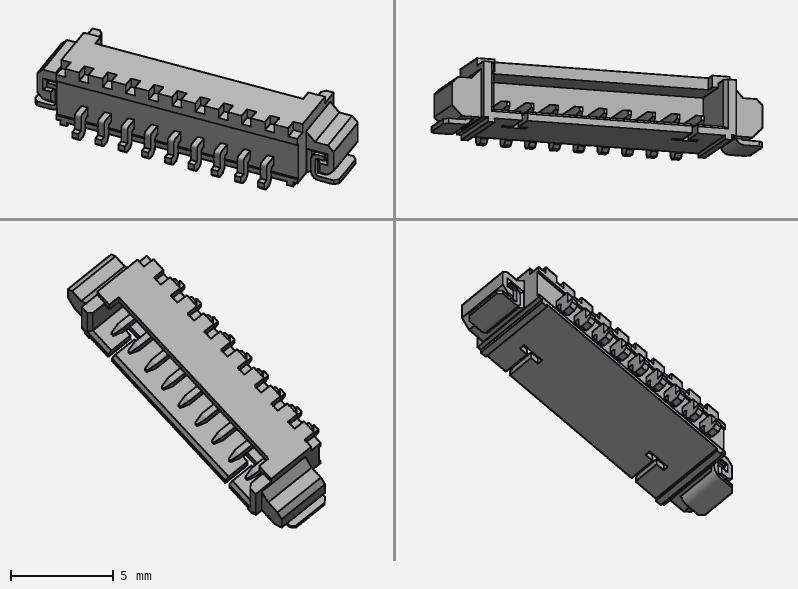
import cadquery as cq


pin_count = 9
pin_row_length = 10.0
pitch = pin_row_length / (pin_count - 1)
pin_width = 0.35
pin_height = 0.5
pin_top = 1.38
pin_bottom = pin_top - pin_height
pin_bend_radius = 0.15
pin_inner_radius = 0.1
leg_outer = -0.69
leg_inner = -0.2
solder_end = -1.0
solder_top = 0.5
solder_chamfer = 0.2
taper_start = 3.0
tip_length = 0.51
tip_scale = 0.4

notch_width = 0.5
notch_length = 0.6
notch_drop = 0.5
notch_count = pin_count + 2
body_half = (notch_count - 1) * pitch / 2 + notch_width / 2
body_depth = 4.2
body_top = 3.4
body_bottom = 0.25
recess_depth = 0.1
recess_bottom = 0.5
recess_top = 2.53

side_wall = 0.59
front_wall = 0.8
cover_thickness = 0.59
floor_top = 0.69
mouth_side_flare = 0.18
mouth_floor_flare = 0.21
mouth_floor_drop = 0.15
side_step_length = 1.0
side_step_top = 3.02
cover_opening_length = 1.6
cover_opening_margin = 0.9

underside_z = 0.2
standoff_inset = 0.23
standoff_width = 0.35

slit_width = 0.28
slit_length = 1.45
slit_offset = pitch * (pin_count - 2) / 2

ear_front = 1.0
ear_length = 2.8
ear_bottom = 0.3
ear_outer = 7.99
ear_shoulder = 6.99
ear_root_top = 2.72
ear_top = 2.23
ear_top_chamfer = 0.31
ear_side_bottom = 0.8
lead_in = 0.2

nail_thickness = 0.25
nail_length = 2.3
nail_outer = 8.2
nail_inner = 6.75
nail_top = 1.51
nail_hook_end = 7.48
foot_corner = 0.21
foot_bend_inner = 0.2
hook_bend_inner = 0.11

slot_inner = 6.72
slot_outer = 7.05
slot_hook_bottom = 1.23


def block(x_range, y_range, z_range):
    """Axis-aligned box spanning the given coordinate ranges."""
    (x0, x1), (y0, y1), (z0, z1) = x_range, y_range, z_range
    return cq.Workplane("XY").box(x1 - x0, y1 - y0, z1 - z0, centered=False).translate((x0, y0, z0))


def profile_plane(y):
    """XZ workplane at depth y; negative extrusions and offsets run toward +Y."""
    return cq.Workplane("XZ", origin=(0, y, 0))


def row(count):
    """X positions of a centred row at the contact pitch."""
    return [(i - (count - 1) / 2) * pitch for i in range(count)]


def make_cavity():
    inner_half = body_half - side_wall
    cover_bottom = body_top - cover_thickness
    cavity = block((-inner_half, inner_half), (front_wall, body_depth), (floor_top, cover_bottom))

    opening_half = body_half - cover_opening_margin
    cavity = cavity.union(block((-opening_half, opening_half),
                                (body_depth - cover_opening_length, body_depth), (floor_top, body_top)))
    cavity = cavity.union(block((-inner_half, inner_half),
                                (body_depth - side_step_length, body_depth), (floor_top, body_top)))

    flare = (
        cq.Workplane("XY")
        .polyline([
            (-inner_half, body_depth - mouth_floor_flare),
            (inner_half, body_depth - mouth_floor_flare),
            (inner_half + mouth_side_flare, body_depth),
            (-inner_half - mouth_side_flare, body_depth),
        ])
        .close()
        .extrude(body_top)
    )
    floor_ramp = (
        cq.Workplane("YZ", origin=(-body_half, 0, 0))
        .polyline([
            (body_depth - mouth_floor_flare, floor_top),
            (body_depth, floor_top - mouth_floor_drop),
            (body_depth, body_top),
            (body_depth - mouth_floor_flare, body_top),
        ])
        .close()
        .extrude(2 * body_half)
    )
    return cavity.union(flare.intersect(floor_ramp))


def make_housing():
    across = (-body_half, body_half)
    body = block(across, (0, body_depth), (body_bottom, body_top))
    body = body.cut(block(across, (0, recess_depth), (recess_bottom, recess_top)))
    body = body.cut(block(across, (body_depth - side_step_length, body_depth), (side_step_top, body_top)))

    rail_outer = body_half - standoff_inset
    body = body.union(block((-rail_outer, rail_outer), (0, body_depth), (underside_z, body_bottom)))
    for x in (-rail_outer, rail_outer - standoff_width):
        body = body.union(block((x, x + standoff_width), (0, body_depth), (0, body_bottom)))

    body = body.cut(make_cavity())
    for x in row(notch_count):
        body = body.cut(block((x - notch_width / 2, x + notch_width / 2),
                              (0, notch_length), (body_top - notch_drop, body_top)))

    slit_front = body_depth - slit_length
    for x in (-slit_offset, slit_offset):
        body = body.cut(block((x - slit_width / 2, x + slit_width / 2),
                              (slit_front, body_depth), (0, floor_top)))
        body = body.cut(block((x - pitch / 2, x + pitch / 2),
                              (slit_front - slit_width, slit_front), (0, floor_top)))
    return body


def make_pin():
    """Contact centred on X = 0: gull-wing lead outside and tapered tip inside the cavity."""
    lead = (
        cq.Workplane("YZ", origin=(-pin_width / 2, 0, 0))
        .moveTo(taper_start, pin_top)
        .lineTo(leg_outer + pin_bend_radius, pin_top)
        .radiusArc((leg_outer, pin_top - pin_bend_radius), -pin_bend_radius)
        .lineTo(leg_outer, solder_top)
        .lineTo(solder_end, solder_top)
        .lineTo(solder_end, solder_chamfer)
        .lineTo(solder_end + solder_chamfer, 0)
        .lineTo(leg_inner - solder_chamfer, 0)
        .lineTo(leg_inner, solder_chamfer)
        .lineTo(leg_inner, pin_bottom - pin_inner_radius)
        .radiusArc((leg_inner + pin_inner_radius, pin_bottom), pin_inner_radius)
        .lineTo(taper_start, pin_bottom)
        .close()
        .extrude(pin_width)
    )
    tip = (
        cq.Workplane("XZ", origin=(0, taper_start, pin_top - pin_height / 2))
        .rect(pin_width, pin_height)
        .workplane(offset=-tip_length)
        .rect(pin_width * tip_scale, pin_height * tip_scale)
        .loft(ruled=True)
    )
    return lead.union(tip)


def nail_slot(clearance):
    """Slot outline around a left-hand nail, grown outward by the given clearance."""
    beyond = nail_outer + clearance
    below = -nail_thickness - clearance
    return [
        (-nail_hook_end - clearance, slot_hook_bottom - clearance),
        (-slot_outer - clearance, slot_hook_bottom - clearance),
        (-slot_outer - clearance, ear_bottom + clearance),
        (-beyond, ear_bottom + clearance),
        (-beyond, below),
        (-slot_inner + clearance, below),
        (-slot_inner + clearance, nail_top + clearance),
        (-nail_hook_end - clearance, nail_top + clearance),
    ]


def make_ear():
    """Left-hand ear with a slot for the nail and a flared slot entry at the front."""
    ear = (
        profile_plane(ear_front)
        .polyline([
            (-body_half, ear_bottom),
            (-body_half, ear_root_top),
            (-ear_shoulder, ear_top),
            (-ear_outer + ear_top_chamfer, ear_top),
            (-ear_outer, ear_top - ear_top_chamfer),
            (-ear_outer, ear_side_bottom),
            (-ear_outer + ear_side_bottom - ear_bottom, ear_bottom),
        ])
        .close()
        .extrude(-ear_length)
    )
    slot = profile_plane(ear_front).polyline(nail_slot(0)).close().extrude(-nail_length)
    entry = (
        profile_plane(ear_front)
        .polyline(nail_slot(lead_in))
        .close()
        .workplane(offset=-lead_in)
        .polyline(nail_slot(0))
        .close()
        .loft(ruled=True)
    )
    return ear.cut(slot).cut(entry)


def make_nail():
    """Left-hand solder nail: flat foot, upright and hook bent back over the foot."""
    upright_outer = nail_inner + nail_thickness
    foot_bend_outer = foot_bend_inner + nail_thickness
    hook_bend_outer = hook_bend_inner + nail_thickness
    hook_bottom = nail_top - nail_thickness
    nail = (
        profile_plane(ear_front)
        .moveTo(-nail_outer, 0)
        .lineTo(-nail_inner - foot_bend_outer, 0)
        .radiusArc((-nail_inner, foot_bend_outer), -foot_bend_outer)
        .lineTo(-nail_inner, nail_top - hook_bend_outer)
        .radiusArc((-nail_inner - hook_bend_outer, nail_top), -hook_bend_outer)
        .lineTo(-nail_hook_end, nail_top)
        .lineTo(-nail_hook_end, hook_bottom)
        .lineTo(-upright_outer - hook_bend_inner, hook_bottom)
        .radiusArc((-upright_outer, hook_bottom - hook_bend_inner), hook_bend_inner)
        .lineTo(-upright_outer, nail_thickness + foot_bend_inner)
        .radiusArc((-upright_outer - foot_bend_inner, nail_thickness), foot_bend_inner)
        .lineTo(-nail_outer, nail_thickness)
        .close()
        .extrude(-nail_length)
    )
    return nail.edges("|Z and <X").chamfer(foot_corner)


result = make_housing()
pin = make_pin()
for pin_x in row(pin_count):
    result = result.union(pin.translate((pin_x, 0, 0)))

left_ear = make_ear().union(make_nail())
result = result.union(left_ear).union(left_ear.mirror("YZ"))